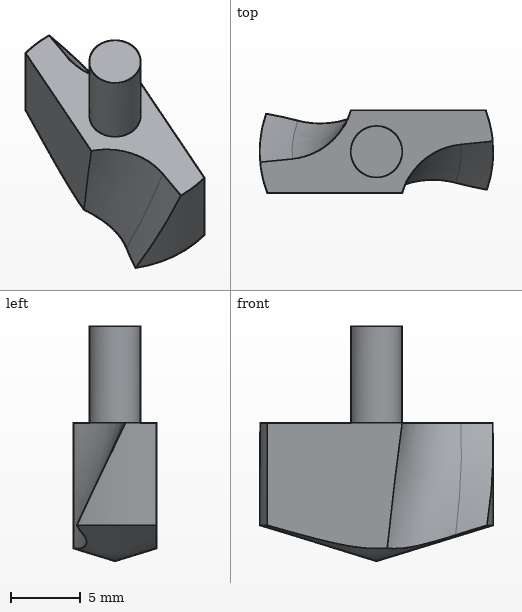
import cadquery as cq
import math

total_height = 16.9
body_top = 9.95
shank_diameter = 3.7
cutting_radius = 8.4
body_thickness = 5.97
point_height = 2.59

flute_radius = 4.9
land_tilt = 5.7
tangent_x = 6.07
tangent_y = 0.52
flute_twist = 32.7
cutter_reach = 11.83


def make_body():
    """Cylinder with a conical point, trimmed to a flat blade."""
    profile = [(0, 0), (cutting_radius, point_height), (cutting_radius, body_top), (0, body_top)]
    revolved = cq.Workplane("XZ").polyline(profile).close().revolve(360, (0, 0), (0, 1))
    blade = cq.Workplane("XY").box(
        2 * cutter_reach, body_thickness, body_top, centered=(True, True, False)
    )
    return revolved.intersect(blade)


def make_flute_cutter():
    """Helical cutter bounded by a straight wall and a tangent round root."""
    tilt = math.radians(land_tilt)
    center_x = tangent_x + flute_radius * math.sin(tilt)
    center_y = tangent_y - flute_radius * math.cos(tilt)
    start_angle = 90 + land_tilt
    end_angle = 180
    mid_angle = math.radians((start_angle + end_angle) / 2)
    arc_middle = (
        center_x + flute_radius * math.cos(mid_angle),
        center_y + flute_radius * math.sin(mid_angle),
    )
    arc_end = (center_x - flute_radius, center_y)
    wall_end = (cutter_reach, tangent_y + (cutter_reach - tangent_x) * math.tan(tilt))
    return (
        cq.Workplane("XY")
        .moveTo(*wall_end)
        .lineTo(tangent_x, tangent_y)
        .threePointArc(arc_middle, arc_end)
        .lineTo(arc_end[0], -cutter_reach)
        .lineTo(cutter_reach, -cutter_reach)
        .close()
        .twistExtrude(body_top, flute_twist)
        .rotate((0, 0, 0), (0, 0, 1), -flute_twist)
    )


def make_shank():
    return (
        cq.Workplane("XY")
        .workplane(offset=body_top)
        .circle(shank_diameter / 2)
        .extrude(total_height - body_top)
    )


result = make_body()
flute_cutter = make_flute_cutter()
for angle in (0, 180):
    result = result.cut(flute_cutter.rotate((0, 0, 0), (0, 0, 1), angle))
result = result.union(make_shank())